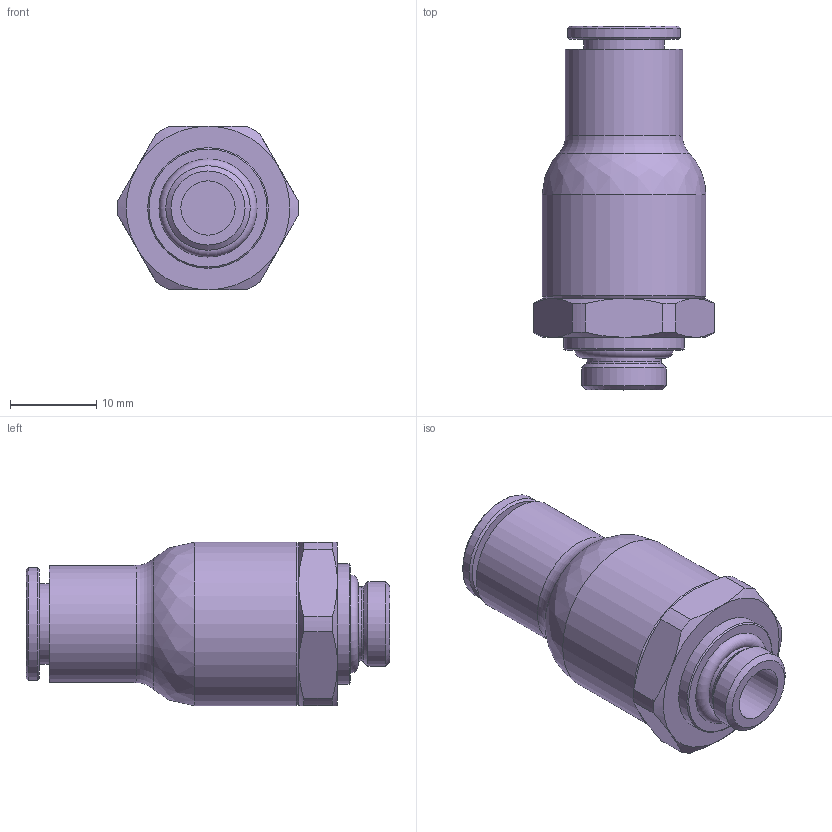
import cadquery as cq
import math

TOTAL_LENGTH = 42.25

THREAD_RADIUS = 4.9
THREAD_END = 2.55
TIP_CHAMFER_LENGTH = 0.5
TIP_CHAMFER_DEPTH = 0.6
NECK_RADIUS = 4.3
NECK_FILLET = 0.4

BORE_RADIUS = 3.15
BORE_DEPTH = 10.0

O_RING_RADIUS = 4.8
O_RING_SECTION_RADIUS = 0.9
O_RING_POSITION = 4.6

COLLAR_RADIUS = 7.0
COLLAR_START = 4.6
COLLAR_CHAMFER = 0.15
HEX_START = 6.1
HEX_END = 10.6
HEX_SIDES = 6
HEX_ACROSS_FLATS = 19.0
HEX_CORNER_RADIUS = 10.5
HEX_CHAMFER_ANGLE = 30.0

BODY_RADIUS = HEX_ACROSS_FLATS / 2
BODY_CHAMFER_LENGTH = 0.3
BODY_CHAMFER_DEPTH = 0.2
SHOULDER_RADIUS = 7.0
FILLET_RADIUS = 3.0
SLEEVE_RADIUS = 6.8
BODY_END = TOTAL_LENGTH - 19.6
SLEEVE_END = TOTAL_LENGTH - 2.7

COLLET_NECK_RADIUS = 4.7
COLLET_RIM_RADIUS = 6.55
COLLET_RIM_START = TOTAL_LENGTH - 1.55
COLLET_CHAMFER = 0.25


def revolve_about_y(profile):
    """Turn a closed (radius, position) outline about the Y axis."""
    return profile.close().revolve(360, (0, 0, 0), (0, 1, 0))


def disc(radius, start, end):
    """Round bar along Y between two positions."""
    return cq.Workplane("XZ", origin=(0, start, 0)).circle(radius).extrude(start - end)


def make_spigot():
    """Thread with a chamfered tip, a 45 degree run-out and a filleted neck behind it."""
    neck_start = THREAD_END + THREAD_RADIUS - NECK_RADIUS
    outline = (
        cq.Workplane("XY")
        .lineTo(THREAD_RADIUS - TIP_CHAMFER_DEPTH, 0)
        .lineTo(THREAD_RADIUS, TIP_CHAMFER_LENGTH)
        .lineTo(THREAD_RADIUS, THREAD_END)
        .lineTo(NECK_RADIUS, neck_start)
        .lineTo(NECK_RADIUS, HEX_START)
        .lineTo(0, HEX_START)
    )
    spigot = revolve_about_y(outline)
    neck_corner = cq.selectors.BoxSelector(
        (-NECK_RADIUS, neck_start - NECK_FILLET, -NECK_RADIUS),
        (NECK_RADIUS, neck_start + NECK_FILLET, NECK_RADIUS),
    )
    return spigot.edges("%CIRCLE").edges(neck_corner).fillet(NECK_FILLET)


def make_o_ring():
    """Ring of round section embedded in the neck and the collar."""
    section = cq.Workplane("XY").center(O_RING_RADIUS, O_RING_POSITION).circle(O_RING_SECTION_RADIUS)
    return section.revolve(360, (-O_RING_RADIUS, 0, 0), (-O_RING_RADIUS, 1, 0))


def make_collar():
    """Sealing collar with a small edge chamfer."""
    collar = disc(COLLAR_RADIUS, COLLAR_START, HEX_START)
    return collar.faces("<Y").chamfer(COLLAR_CHAMFER)


def make_hexagon():
    """Hexagon with turned corners and a conical chamfer at both ends."""
    across_corners = HEX_ACROSS_FLATS / math.cos(math.pi / HEX_SIDES)
    prism = (
        cq.Workplane("XZ", origin=(0, HEX_START, 0))
        .polygon(HEX_SIDES, across_corners)
        .extrude(HEX_START - HEX_END)
    )
    chamfer_depth = HEX_CORNER_RADIUS - BODY_RADIUS
    chamfer_length = chamfer_depth * math.tan(math.radians(HEX_CHAMFER_ANGLE))
    bar = disc(HEX_CORNER_RADIUS, HEX_START, HEX_END)
    turned = bar.faces("<Y or >Y").chamfer(chamfer_length, chamfer_depth)
    return prism.intersect(turned)


def make_body():
    """Round body blending through two tangent arcs into the narrower sleeve."""
    radii_sum = SHOULDER_RADIUS + FILLET_RADIUS
    turn_angle = math.acos(1 - (BODY_RADIUS - SLEEVE_RADIUS) / radii_sum)
    blend_radius = BODY_RADIUS - SHOULDER_RADIUS * (1 - math.cos(turn_angle))
    blend_position = BODY_END + SHOULDER_RADIUS * math.sin(turn_angle)
    sleeve_start = BODY_END + radii_sum * math.sin(turn_angle)
    outline = (
        cq.Workplane("XY")
        .moveTo(0, HEX_END)
        .lineTo(BODY_RADIUS - BODY_CHAMFER_DEPTH, HEX_END)
        .lineTo(BODY_RADIUS, HEX_END + BODY_CHAMFER_LENGTH)
        .lineTo(BODY_RADIUS, BODY_END)
        .radiusArc((blend_radius, blend_position), -SHOULDER_RADIUS)
        .radiusArc((SLEEVE_RADIUS, sleeve_start), FILLET_RADIUS)
        .lineTo(SLEEVE_RADIUS, SLEEVE_END)
        .lineTo(0, SLEEVE_END)
    )
    return revolve_about_y(outline)


def make_collet():
    """Release collet: a neck carrying a chamfered rim."""
    neck = disc(COLLET_NECK_RADIUS, SLEEVE_END, COLLET_RIM_START)
    rim = disc(COLLET_RIM_RADIUS, COLLET_RIM_START, TOTAL_LENGTH)
    return neck.union(rim.faces("<Y or >Y").chamfer(COLLET_CHAMFER))


fitting = make_spigot()
for section in (make_o_ring(), make_collar(), make_hexagon(), make_body(), make_collet()):
    fitting = fitting.union(section)

result = fitting.cut(disc(BORE_RADIUS, 0, BORE_DEPTH))